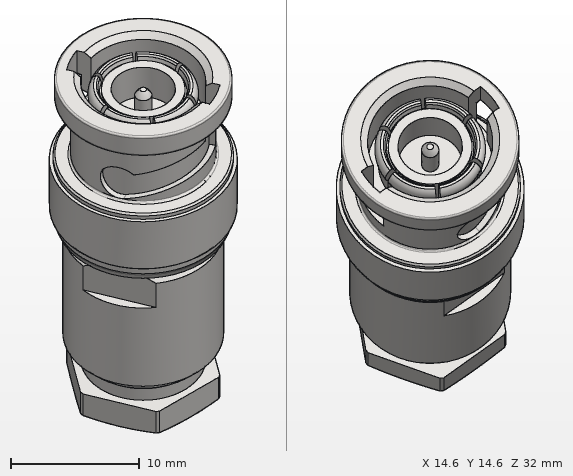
import cadquery as cq
import math


total_height = 31.95
wrench_width = 11.0
hex_height = 2.5
hex_chamfer_height = 0.22
neck_radius = 4.9
thread_radius = 5.5
thread_cone_bottom = 3.7
thread_cone_top = 4.3

body_radius = 6.25
body_bottom = 5.2
body_shoulder = 15.95
flat_bottom = 13.42

grip_diameter = 14.6
grip_radius = grip_diameter / 2
grip_step = 0.3
collar_radius = grip_radius - grip_step
ring_bottom = 17.0
ring_cone_top = 17.5
ring_bevel_inset = 0.05
ring_cone_inset = 0.25
ring_bevel_top = 17.7
band_bottom = 18.5
band_top = 23.42
ring_top = 23.93
ring_edge_chamfer = 0.15

sleeve_radius = 5.65
sleeve_root_fillet = 0.2
flange_radius = 6.9
flange_cone_bottom = 29.5
flange_cone_top = 30.0
flange_edge_fillet = 0.15
bore_radius = 4.85
bore_floor = 27.6
mouth_radius = 5.4
mouth_depth = 0.45

guide_width = 2.33
passage_radius = 6.0
guide_floor_radius = 5.15
ramp_angle = 15.0
latch_radius = 1.6
latch_height = 25.72

insulator_radius = 3.25
insulator_top = 30.75
insulator_hole_radius = 2.5
contact_top = 31.1
contact_root_radius = 4.03
contact_bulge_radius = 4.28
contact_bulge_bottom = 29.55
contact_bulge_height = 30.45
contact_tip_radius = 3.85
contact_lip_radius = 3.65
contact_throat_radius = 3.5
contact_throat_height = 30.93
contact_step_radius = 3.4
contact_step_height = 30.5
contact_gap = 0.35
finger_count = 6

pin_radius = 0.67
pin_shoulder = 30.1
pin_dome_radius = 0.5
pin_dome_height = 30.4
pin_tip_radius = 0.25
pin_top = 30.67

corner_45 = math.sqrt(0.5)


def cylinder(radius, bottom, top):
    return cq.Workplane("XY").workplane(offset=bottom).circle(radius).extrude(top - bottom)


def make_clamp_nut():
    corner_diameter = wrench_width / math.cos(math.radians(30))
    hexagon = cq.Workplane("XY").polygon(6, corner_diameter).extrude(hex_height)
    envelope = cylinder(body_radius, 0, hex_height).faces("<Z").chamfer(
        hex_chamfer_height, body_radius - wrench_width / 2
    )
    return hexagon.intersect(envelope)


def make_clamp_body():
    shoulder_run = ring_bottom - body_shoulder
    body = (
        cq.Workplane("XZ")
        .moveTo(0, hex_height)
        .lineTo(neck_radius, hex_height)
        .lineTo(neck_radius, thread_cone_bottom)
        .lineTo(thread_radius, thread_cone_top)
        .lineTo(thread_radius, body_bottom)
        .lineTo(body_radius, body_bottom)
        .lineTo(body_radius, body_shoulder)
        .lineTo(body_radius - shoulder_run, ring_bottom)
        .lineTo(0, ring_bottom)
        .close()
        .revolve()
    )
    flat_depth = body_radius - wrench_width / 2
    flat_center = (body_radius + wrench_width / 2) / 2
    for side in (-1, 1):
        flat = (
            cq.Workplane("XY")
            .workplane(offset=flat_bottom)
            .center(0, side * flat_center)
            .rect(2 * body_radius, flat_depth)
            .extrude(ring_bottom - flat_bottom)
        )
        body = body.cut(flat)
    return body


def make_ring_and_sleeve():
    root_radius = sleeve_radius + sleeve_root_fillet
    root_top = ring_top + sleeve_root_fillet
    root_mid_inset = sleeve_root_fillet * (1 - corner_45)
    return (
        cq.Workplane("XZ")
        .moveTo(0, ring_bottom)
        .lineTo(collar_radius - ring_cone_inset, ring_bottom)
        .lineTo(collar_radius - ring_bevel_inset, ring_cone_top)
        .lineTo(collar_radius, ring_bevel_top)
        .lineTo(collar_radius, band_bottom - grip_step)
        .lineTo(grip_radius, band_bottom)
        .lineTo(grip_radius, band_top)
        .lineTo(collar_radius, band_top)
        .lineTo(collar_radius, ring_top - ring_edge_chamfer)
        .lineTo(collar_radius - ring_edge_chamfer, ring_top)
        .lineTo(root_radius, ring_top)
        .threePointArc(
            (sleeve_radius + root_mid_inset, ring_top + root_mid_inset), (sleeve_radius, root_top)
        )
        .lineTo(sleeve_radius, flange_cone_bottom)
        .lineTo(0, flange_cone_bottom)
        .close()
        .revolve()
    )


def make_flange():
    flange = (
        cq.Workplane("XZ")
        .moveTo(0, flange_cone_bottom)
        .lineTo(sleeve_radius, flange_cone_bottom)
        .lineTo(flange_radius, flange_cone_top)
        .lineTo(flange_radius, total_height)
        .lineTo(0, total_height)
        .close()
        .revolve()
    )
    rim = cq.selectors.RadiusNthSelector(-1)
    return flange.edges(rim).fillet(flange_edge_fillet)


def make_bore():
    return (
        cq.Workplane("XZ")
        .moveTo(0, bore_floor)
        .lineTo(bore_radius, bore_floor)
        .lineTo(bore_radius, total_height - mouth_depth)
        .lineTo(mouth_radius, total_height)
        .lineTo(0, total_height)
        .close()
        .revolve()
    )


def make_passages():
    """Axial entry slots for the bayonet studs, on the +X and -X sides of the bore."""
    height = total_height - bore_floor
    bar = (
        cq.Workplane("XY").workplane(offset=bore_floor)
        .rect(2 * grip_radius, guide_width).extrude(height)
    )
    return bar.intersect(cylinder(passage_radius, bore_floor, total_height))


def make_guide():
    """Ramp from the latching hole on the -Y side up to the passage on the +X side."""
    ramp_length = 2 * grip_radius
    ramp = (
        cq.Workplane("XZ", origin=(0, guide_width / 2, latch_height))
        .transformed(rotate=(0, 0, ramp_angle))
        .moveTo(0, -latch_radius)
        .rect(ramp_length, guide_width, centered=False)
        .extrude(grip_radius + guide_width / 2)
    )
    latch = cq.Workplane("XZ", origin=(0, 0, latch_height)).circle(latch_radius).extrude(grip_radius)
    wall = cylinder(passage_radius, ring_top, flange_cone_bottom).cut(
        cylinder(guide_floor_radius, ring_top, flange_cone_bottom)
    )
    return ramp.union(latch).intersect(wall)


def make_contact():
    """Spring sleeve with a bulged rim, slotted into fingers around the insulator."""
    contact = (
        cq.Workplane("XZ")
        .moveTo(insulator_radius, bore_floor)
        .lineTo(contact_root_radius, bore_floor)
        .lineTo(contact_root_radius, contact_bulge_bottom)
        .threePointArc(
            (contact_bulge_radius, contact_bulge_height), (contact_tip_radius, contact_top)
        )
        .lineTo(contact_lip_radius, contact_top)
        .lineTo(contact_throat_radius, contact_throat_height)
        .lineTo(contact_step_radius, contact_step_height)
        .lineTo(insulator_radius, contact_step_height)
        .close()
        .revolve()
    )
    gap_count = finger_count // 2
    for index in range(gap_count):
        gap_pair = (
            cq.Workplane("XY")
            .workplane(offset=bore_floor)
            .rect(2 * bore_radius, contact_gap)
            .extrude(contact_top - bore_floor)
            .rotate((0, 0, 0), (0, 0, 1), index * 180 / gap_count)
        )
        contact = contact.cut(gap_pair)
    return contact


def make_insulator():
    return cylinder(insulator_radius, bore_floor, insulator_top).cut(
        cylinder(insulator_hole_radius, bore_floor, insulator_top)
    )


def make_pin():
    return (
        cq.Workplane("XZ")
        .moveTo(0, bore_floor)
        .lineTo(pin_radius, bore_floor)
        .lineTo(pin_radius, pin_shoulder)
        .threePointArc((pin_dome_radius, pin_dome_height), (pin_tip_radius, pin_top))
        .lineTo(0, pin_top)
        .close()
        .revolve()
    )


shell = make_clamp_nut().union(make_clamp_body()).union(make_ring_and_sleeve()).union(make_flange())
shell = shell.cut(make_bore()).cut(make_passages())
guide = make_guide()
for turn in (0, 180):
    shell = shell.cut(guide.rotate((0, 0, 0), (0, 0, 1), turn))

result = shell.union(make_contact()).union(make_insulator()).union(make_pin())